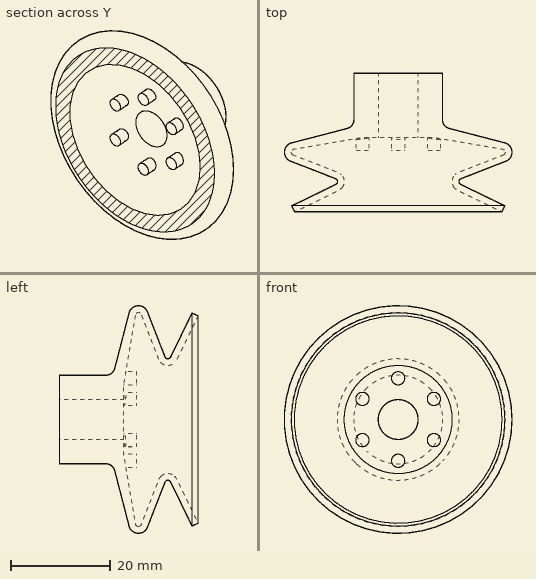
import cadquery as cq
import math

height = 28.0
outer_radius = 23.0
wall = 1.4
neck_radius = 8.95
bore_radius = 4.0

rim_round = 2.0
rim_y = 12.05
waist_radius = 12.3
waist_round = 0.6
waist_y = 6.1

shoulder_slope = math.radians(14.5)
lip_slope = math.radians(25)
lip_radius = 21.55
neck_fillet = 1.75

ceiling_slope = math.radians(9.7)
ceiling_radius = 7.0

pin_count = 6
pin_radius = 1.35
pin_circle_radius = ceiling_radius + pin_radius
pin_tip_y = 12.4

rim_center = (outer_radius - rim_round, rim_y)
waist_center = (waist_radius + waist_round, waist_y)

center_dr = rim_center[0] - waist_center[0]
center_dy = rim_center[1] - waist_center[1]
fold_slope = math.atan2(center_dy, center_dr) - math.asin(
    (rim_round + waist_round) / math.hypot(center_dr, center_dy)
)


def on_circle(center, radius, angle):
    """Point (r, y) on a circle; the angle is measured from the outward radial direction."""
    return (center[0] + radius * math.cos(angle), center[1] + radius * math.sin(angle))


shoulder_normal = math.pi / 2 - shoulder_slope
ceiling_normal = math.pi / 2 - ceiling_slope
rim_fold_normal = fold_slope - math.pi / 2
waist_fold_normal = fold_slope + math.pi / 2
waist_lip_normal = -math.pi / 2 - lip_slope

inner_rim_round = rim_round - wall
inner_waist_round = waist_round + wall


def cone_y(radius, start, slope):
    """Height at a radius on a cone that rises inward from the start point."""
    return start[1] + (start[0] - radius) * math.tan(slope)


shoulder_start = on_circle(rim_center, rim_round, shoulder_normal)
ceiling_start = on_circle(rim_center, inner_rim_round, ceiling_normal)
ceiling_y = cone_y(ceiling_radius, ceiling_start, ceiling_slope)


def make_body():
    lip_inner = (lip_radius - wall * math.sin(lip_slope), 0)
    lip_outer = (lip_radius, wall * math.cos(lip_slope))

    fillet_center_r = neck_radius + neck_fillet
    fillet_center = (
        fillet_center_r,
        cone_y(fillet_center_r, shoulder_start, shoulder_slope) + neck_fillet / math.cos(shoulder_slope),
    )

    profile = (
        cq.Workplane("XY")
        .moveTo(*lip_inner)
        .lineTo(*lip_outer)
        .lineTo(*on_circle(waist_center, waist_round, waist_lip_normal))
        .threePointArc(
            on_circle(waist_center, waist_round, math.pi),
            on_circle(waist_center, waist_round, waist_fold_normal),
        )
        .lineTo(*on_circle(rim_center, rim_round, rim_fold_normal))
        .threePointArc(
            on_circle(rim_center, rim_round, 0),
            shoulder_start,
        )
        .lineTo(*on_circle(fillet_center, neck_fillet, shoulder_normal + math.pi))
        .threePointArc(
            on_circle(fillet_center, neck_fillet, math.pi + shoulder_normal / 2),
            on_circle(fillet_center, neck_fillet, math.pi),
        )
        .lineTo(neck_radius, height)
        .lineTo(bore_radius, height)
        .lineTo(bore_radius, ceiling_y)
        .lineTo(ceiling_radius, ceiling_y)
        .lineTo(*ceiling_start)
        .threePointArc(
            on_circle(rim_center, inner_rim_round, 0),
            on_circle(rim_center, inner_rim_round, rim_fold_normal),
        )
        .lineTo(*on_circle(waist_center, inner_waist_round, waist_fold_normal))
        .threePointArc(
            on_circle(waist_center, inner_waist_round, math.pi),
            on_circle(waist_center, inner_waist_round, waist_lip_normal),
        )
        .close()
    )
    return profile.revolve(360, (0, 0, 0), (0, 1, 0))


def make_pins():
    return (
        cq.Workplane("XZ", origin=(0, pin_tip_y, 0))
        .polarArray(pin_circle_radius, 90, 360, pin_count)
        .circle(pin_radius)
        .extrude(pin_tip_y - ceiling_y)
    )


result = make_body().union(make_pins())